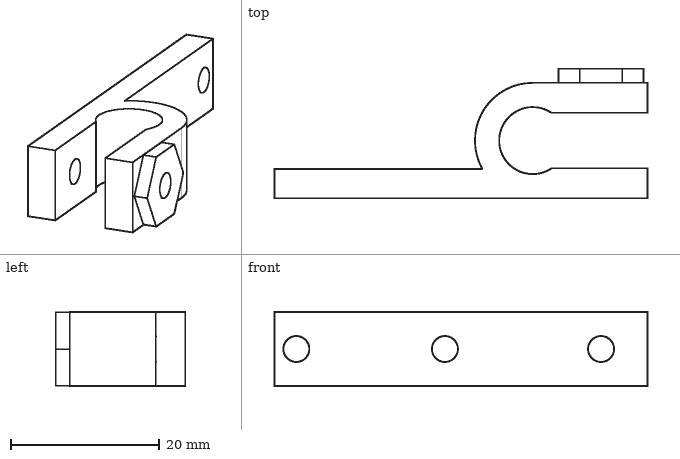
import cadquery as cq

plate_length = 50.3
plate_thickness = 3.95
height = 10.0

total_depth = 17.5
boss_thickness = 1.9
clip_depth = total_depth - boss_thickness
clip_radius = clip_depth / 2
clip_center_x = 34.8
clip_center_y = clip_radius
arm_length = plate_length - clip_center_x
bore_diameter = 9.0
mouth_width = 7.45

boss_corner_diameter = 11.45

hole_diameter = 3.45
clamp_hole_x = 44.0
hole_positions = (2.95, 23.0, clamp_hole_x)


def make_plate():
    return cq.Workplane("XY").box(plate_length, plate_thickness, height, centered=False)


def make_clip():
    """Two straight arms joined by a round bend, before the opening is cut."""
    center = cq.Workplane("XY").center(clip_center_x, clip_center_y)
    arms = center.rect(arm_length, clip_depth, centered=(False, True)).extrude(height)
    bend = center.circle(clip_radius).extrude(height)
    return arms.union(bend)


def make_clip_opening():
    """Round bore that opens into a narrower mouth between the arms."""
    center = cq.Workplane("XY").center(clip_center_x, clip_center_y)
    bore = center.circle(bore_diameter / 2).extrude(height)
    mouth = center.rect(arm_length, mouth_width, centered=(False, True)).extrude(height)
    return bore.union(mouth)


def upright_plane(y):
    """Plane at depth y and mid height, with Z up and its normal along -Y."""
    return cq.Workplane("XZ", origin=(0, y, height / 2))


def make_boss():
    return (
        upright_plane(clip_depth)
        .center(clamp_hole_x, 0)
        .polygon(6, boss_corner_diameter)
        .extrude(-boss_thickness)
    )


def make_hole(x):
    return upright_plane(0).center(x, 0).circle(hole_diameter / 2).extrude(-total_depth)


result = make_plate().union(make_clip()).union(make_boss()).cut(make_clip_opening())

for hole_x in hole_positions:
    result = result.cut(make_hole(hole_x))